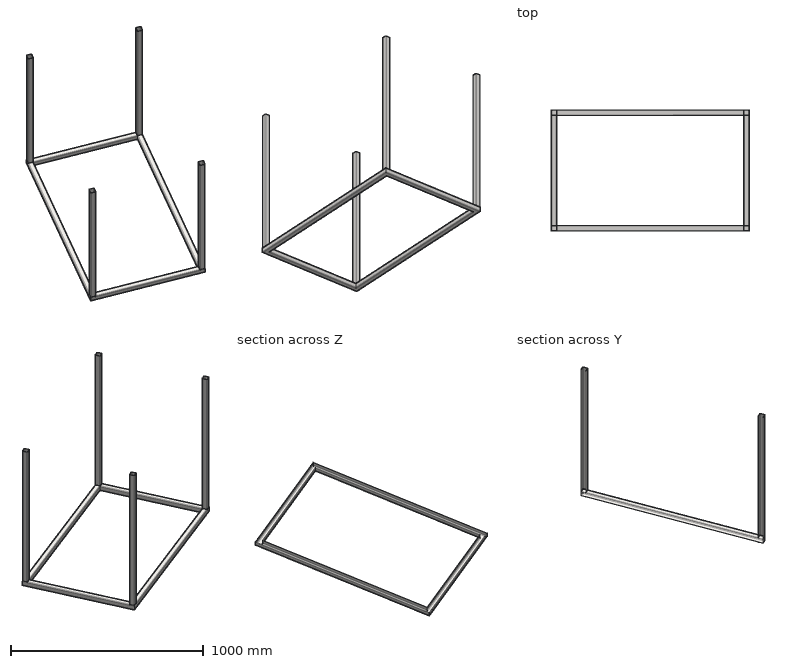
import cadquery as cq

LENGTH = 1030.0
WIDTH = 630.0
HEIGHT = 830.0

TUBE = 30.0
WALL = 2.0
OUTER_RADIUS = 4.0
BORE = TUBE - 2 * WALL
BORE_RADIUS = OUTER_RADIUS - WALL

HALF_SPAN_X = (LENGTH - TUBE) / 2
HALF_SPAN_Y = (WIDTH - TUBE) / 2
RAIL_HEIGHT = TUBE / 2
CORNERS = [(x, y) for x in (-HALF_SPAN_X, HALF_SPAN_X) for y in (-HALF_SPAN_Y, HALF_SPAN_Y)]


def rounded_square(side, radius):
    return cq.Sketch().rect(side, side).vertices().fillet(radius)


def mitred_ring(side, radius):
    """Rounded square bar round the base rectangle, with sharp mitred corners."""
    half_path = (
        cq.Workplane("XY", origin=(0, 0, RAIL_HEIGHT))
        .moveTo(0, -HALF_SPAN_Y)
        .lineTo(-HALF_SPAN_X, -HALF_SPAN_Y)
        .lineTo(-HALF_SPAN_X, HALF_SPAN_Y)
        .lineTo(0, HALF_SPAN_Y)
    )
    section = cq.Workplane("YZ", origin=(0, -HALF_SPAN_Y, RAIL_HEIGHT))
    half_ring = section.placeSketch(rounded_square(side, radius)).sweep(half_path, transition="right")
    return half_ring.mirror("YZ", union=True).clean()


def uprights(side, radius, bottom):
    """One rounded square bar at each corner, from the given height up to the top."""
    section = cq.Workplane("XY", origin=(0, 0, bottom)).pushPoints(CORNERS)
    return section.placeSketch(rounded_square(side, radius)).extrude(HEIGHT - bottom)


outside = mitred_ring(TUBE, OUTER_RADIUS).union(uprights(TUBE, OUTER_RADIUS, RAIL_HEIGHT))
rail_bore = mitred_ring(BORE, BORE_RADIUS)
leg_bores = uprights(BORE, BORE_RADIUS, TUBE)

result = outside.cut(rail_bore).cut(leg_bores)